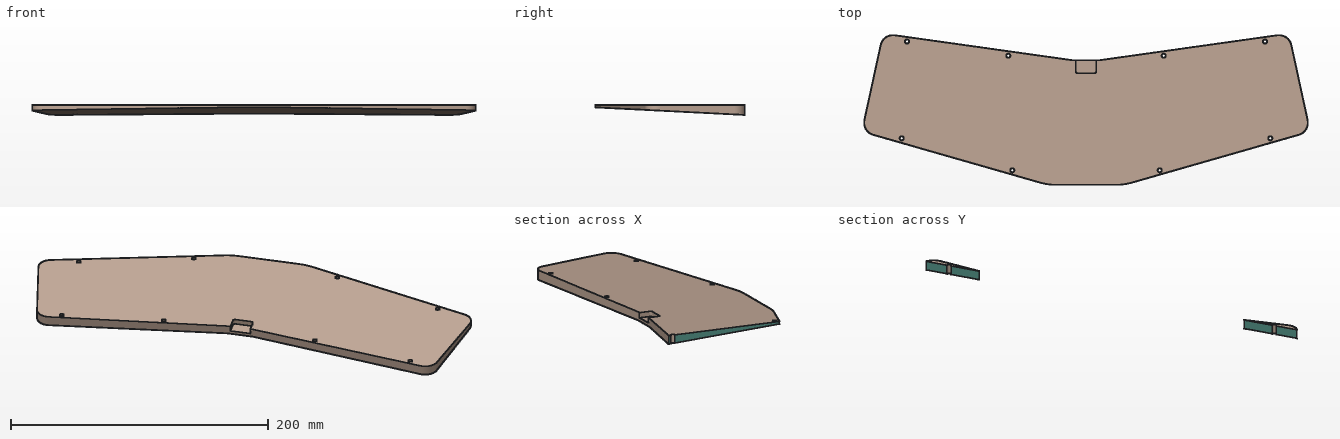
import cadquery as cq
import math

front_thickness = 2.0
underside_angle = 2.9

front_half_flat = 29.5
back_half_flat = 10.5
back_edge_y = 96.7
back_corner = (-157.5, 117.5)
front_corner = (-174.0, 41.3)
corner_radius = 10.0
front_bend_radius = 40.0

hole_diameter = 3.0
left_holes = [(-138.8, 111.2), (-60.3, 100.2), (-143.0, 36.0), (-57.0, 11.5)]

pocket_width = 16.0
pocket_length = 10.5
pocket_depth = 4.0
pocket_corner_radius = 1.7

block_half_width = 206.5
block_length = 137.7
block_height = 17.2


def mirrored(point):
    return (-point[0], point[1])


def make_plate():
    """Rounded plan outline, extruded downwards from the top face."""
    left = [(-front_half_flat, 0), front_corner, back_corner, (-back_half_flat, back_edge_y)]
    right = [mirrored(point) for point in reversed(left)]
    plate = cq.Workplane("XY").polyline(left + right).close().extrude(-block_height)
    plate = round_edges(plate, [front_corner, back_corner], corner_radius)
    return round_edges(plate, [(-front_half_flat, 0)], front_bend_radius)


def round_edges(body, left_points, radius):
    """Fillet the vertical edges at the given points and their mirror images."""
    for point in left_points:
        for x, y in (point, mirrored(point)):
            edge = cq.selectors.NearestToPointSelector((x, y, -block_height / 2))
            body = body.edges("|Z").edges(edge).fillet(radius)
    return body


def make_wedge():
    """Side profile of the tapered thickness, extruded across the full width."""
    back_thickness = front_thickness + block_length * math.tan(math.radians(underside_angle))
    profile = [(0, 0), (block_length, 0), (block_length, -back_thickness), (0, -front_thickness)]
    return cq.Workplane("YZ").polyline(profile).close().extrude(block_half_width, both=True)


def make_pocket():
    """Pocket cutter with rounded inner corners, running out past the back edge."""
    inner_y = back_edge_y - pocket_length
    cutter_length = block_length - inner_y
    cutter = cq.Workplane("XY").center(0, inner_y + cutter_length / 2)
    cutter = cutter.rect(pocket_width, cutter_length).extrude(-pocket_depth)
    return cutter.edges("|Z and <Y").fillet(pocket_corner_radius)


def make_holes():
    centers = left_holes + [mirrored(point) for point in left_holes]
    return cq.Workplane("XY").pushPoints(centers).circle(hole_diameter / 2).extrude(-block_height)


result = make_plate().intersect(make_wedge()).cut(make_pocket()).cut(make_holes())